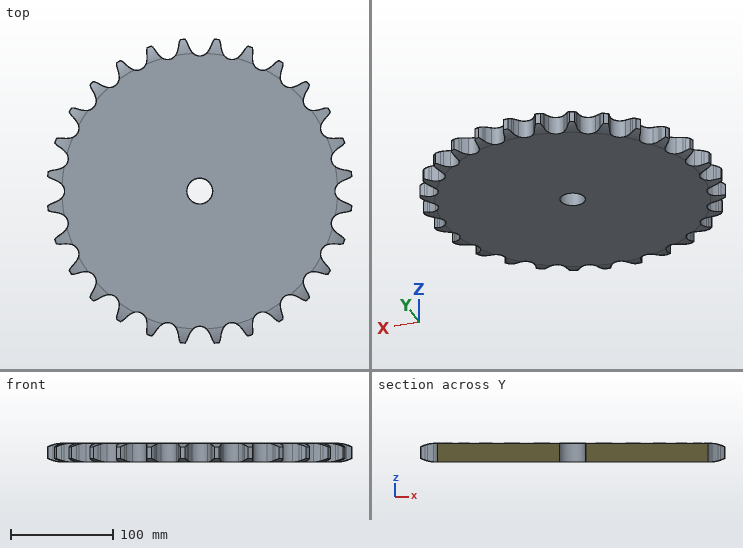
import cadquery as cq
import math

tooth_count = 28
overall_width = 297.3
thickness = 18.5
bore_diameter = 25.0

pitch_diameter = 283.5
roller_diameter = 19.0

side_relief_depth = 3.5
side_relief_radius = 32.0

cutter_overrun = 3.0

seat_radius = 0.505 * roller_diameter
working_radius = 1.3025 * roller_diameter
seat_angle = math.radians(90 - (35 + 60 / tooth_count))
working_angle = math.radians(18 - 56 / tooth_count)
topping_angle = math.radians(17 - 64 / tooth_count)
topping_radius = roller_diameter * (
    0.8 * math.cos(working_angle) + 1.4 * math.cos(topping_angle) - 1.3025
)
straight_length = roller_diameter * (
    1.4 * math.sin(topping_angle) - 0.8 * math.sin(working_angle)
)


def move(point, distance, angle):
    """Point reached from another one by a distance in a direction given from +X."""
    return point[0] + distance * math.cos(angle), point[1] + distance * math.sin(angle)


def mirrored(point):
    """The same point on the other side of the gap."""
    return -point[0], point[1]


def topping_point(height):
    """Point at the given Y on the convex top of the right-hand flank."""
    rise = height - topping_center[1]
    return topping_center[0] - math.sqrt(topping_radius**2 - rise**2), height


seat_center = (0, pitch_diameter / 2)
seat_bottom = move(seat_center, seat_radius, -math.pi / 2)
seat_end_direction = seat_angle - math.pi / 2
seat_end = move(seat_center, seat_radius, seat_end_direction)

working_center = move(seat_end, -working_radius, seat_end_direction)
working_mid = move(working_center, working_radius, seat_end_direction + working_angle / 2)
working_end_direction = seat_end_direction + working_angle
working_end = move(working_center, working_radius, working_end_direction)

straight_end = move(working_end, straight_length, working_end_direction + math.pi / 2)
topping_center = move(straight_end, topping_radius, working_end_direction)

tip_corner = topping_point(overall_width / 2)
tip_radius = math.hypot(*tip_corner)
topping_end = topping_point(overall_width / 2 + cutter_overrun)


def make_blank():
    """Disc whose rim curves inward on both faces, made by revolving its half section."""
    half = thickness / 2
    rim_half = half - side_relief_depth
    relief_center_z = half - side_relief_radius
    relief_angle = math.acos(1 - side_relief_depth / side_relief_radius)
    face_radius = tip_radius - side_relief_radius * math.sin(relief_angle)
    mid_radius, mid_z = move(
        (face_radius, relief_center_z), side_relief_radius, math.pi / 2 - relief_angle / 2
    )
    section = (
        cq.Workplane("XZ")
        .moveTo(0, -half)
        .lineTo(face_radius, -half)
        .threePointArc((mid_radius, -mid_z), (tip_radius, -rim_half))
        .lineTo(tip_radius, rim_half)
        .threePointArc((mid_radius, mid_z), (face_radius, half))
        .lineTo(0, half)
        .close()
    )
    return section.revolve(360, (0, 0, 0), (0, 1, 0))


def make_gap_cutter():
    """Tooth gap on +Y: roller seat, hollow working curve, short straight and convex top."""
    return (
        cq.Workplane("XY")
        .workplane(offset=-thickness / 2)
        .moveTo(*mirrored(seat_end))
        .threePointArc(seat_bottom, seat_end)
        .threePointArc(working_mid, working_end)
        .lineTo(*straight_end)
        .threePointArc(tip_corner, topping_end)
        .lineTo(*mirrored(topping_end))
        .threePointArc(mirrored(tip_corner), mirrored(straight_end))
        .lineTo(*mirrored(working_end))
        .threePointArc(mirrored(working_mid), mirrored(seat_end))
        .close()
        .extrude(thickness)
    )


def cut_tooth_gaps(blank):
    """Remove one gap per tooth, equally spaced around Z."""
    cutter = make_gap_cutter().val()
    cutters = [
        cutter.rotate((0, 0, 0), (0, 0, 1), 360 / tooth_count * index)
        for index in range(tooth_count)
    ]
    return cq.Workplane("XY").newObject([blank.val().cut(*cutters)])


sprocket = cut_tooth_gaps(make_blank())
result = sprocket.faces(">Z").workplane(origin=(0, 0, 0)).hole(bore_diameter)